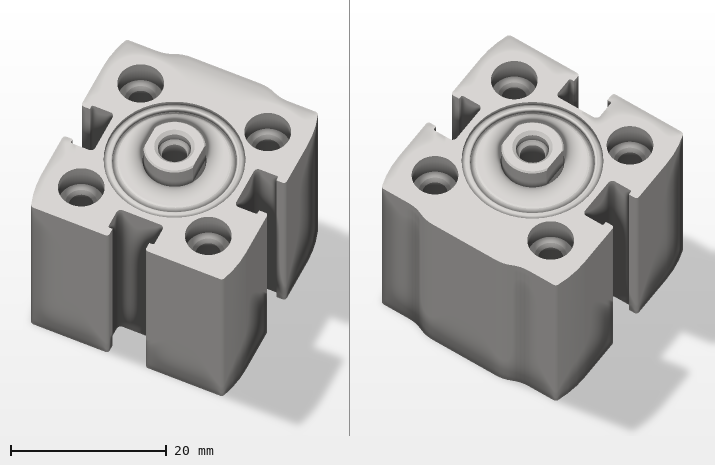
import cadquery as cq
import math

HALF_WIDTH = 14.5
RIDGE_Y = 15.5
HOUSING_HEIGHT = 26.0
RIDGE_TOP_HALF = 4.9
RIDGE_FOOT_HALF = 9.3
SIDE_FLAT_HALF = 9.3
SIDE_ARC_RADIUS = 15.0
CORNER_FILLET = 0.5

SLOT_MOUTH_WIDTH = 5.2
SLOT_WIDTH = 6.5
SLOT_FLOOR = 10.0
SLOT_LIP = 1.3
SLOT_FLOOR_FILLET = 0.6
SLOT_LIP_FILLET = 0.2
SLOT_MOUTH_FILLET = 0.4

HOLE_SPACING = 18.0
HOLE_DIAMETER = 3.24
HOLE_CHAMFER_DIAMETER = 4.13
COUNTERBORE_DIAMETER = 6.0
COUNTERBORE_DEPTH = 3.5

RECESS_RADIUS = 18.2 / 2
RING_OUTER_RADIUS = 8.3
RING_INNER_RADIUS = 16.0 / 2
RING_DEPTH = 0.15
RING_SLOPE = 30.0
RING_ROUND = 0.25
CAP_FOOT_RADIUS = 7.9
CAP_EDGE_RADIUS = 7.35
CAP_FACE_RADIUS = 7.1
CAP_DEPTH = 0.2
CAP_EDGE_DROP = 0.08
CAP_SLOPE = 40.0

ROD_DIAMETER = 8.0
ROD_CLEARANCE = 0.1
ROD_TOP = 29.0
ROD_BOTTOM = 6.0
ROD_CHAMFER = 0.2
FLAT_ACROSS = 7.0
FLAT_BOTTOM = 25.6
BORE_MOUTH_DIAMETER = 5.2
BORE_DIAMETER = 4.3
BORE_DEPTH = 1.5
THREAD_DIAMETER = 3.24
THREAD_CHAMFER_DIAMETER = 4.13
THREAD_DEPTH = 10.0
DRILL_POINT_ANGLE = 118.0


def housing_blank():
    """Extruded profile with bulged X sides and a ridge along the +Y side."""
    bend = HALF_WIDTH - SIDE_FLAT_HALF
    corner_x = HALF_WIDTH - SIDE_ARC_RADIUS + math.sqrt(SIDE_ARC_RADIUS**2 - bend**2)
    mid_x = HALF_WIDTH - SIDE_ARC_RADIUS + math.sqrt(SIDE_ARC_RADIUS**2 - (bend / 2) ** 2)
    mid_y = SIDE_FLAT_HALF + bend / 2
    ridge_mid = ((RIDGE_TOP_HALF + RIDGE_FOOT_HALF) / 2, (HALF_WIDTH + RIDGE_Y) / 2)
    blank = (
        cq.Workplane("XY")
        .moveTo(-corner_x, -HALF_WIDTH)
        .lineTo(corner_x, -HALF_WIDTH)
        .threePointArc((mid_x, -mid_y), (HALF_WIDTH, -SIDE_FLAT_HALF))
        .lineTo(HALF_WIDTH, SIDE_FLAT_HALF)
        .threePointArc((mid_x, mid_y), (corner_x, HALF_WIDTH))
        .lineTo(RIDGE_FOOT_HALF, HALF_WIDTH)
        .tangentArcPoint(ridge_mid, relative=False)
        .tangentArcPoint((RIDGE_TOP_HALF, RIDGE_Y), relative=False)
        .lineTo(-RIDGE_TOP_HALF, RIDGE_Y)
        .tangentArcPoint((-ridge_mid[0], ridge_mid[1]), relative=False)
        .tangentArcPoint((-RIDGE_FOOT_HALF, HALF_WIDTH), relative=False)
        .lineTo(-corner_x, HALF_WIDTH)
        .threePointArc((-mid_x, mid_y), (-HALF_WIDTH, SIDE_FLAT_HALF))
        .lineTo(-HALF_WIDTH, -SIDE_FLAT_HALF)
        .threePointArc((-mid_x, -mid_y), (-corner_x, -HALF_WIDTH))
        .close()
        .extrude(HOUSING_HEIGHT)
    )
    size = CORNER_FILLET
    for x in (-corner_x, corner_x):
        for y in (-HALF_WIDTH, HALF_WIDTH):
            near_corner = cq.selectors.BoxSelector(
                (x - size, y - size, 0),
                (x + size, y + size, HOUSING_HEIGHT),
            )
            blank = blank.edges("|Z").edges(near_corner).fillet(size)
    return blank


def t_slot(turn):
    """T-slot cutter for the -Y side, turned about Z by the given angle."""
    mouth = SLOT_MOUTH_WIDTH / 2
    lip_y = -(HALF_WIDTH - SLOT_LIP)
    wide_length = -lip_y - SLOT_FLOOR
    head = (
        cq.Workplane("XY")
        .center(0, lip_y + wide_length / 2)
        .rect(SLOT_WIDTH, wide_length)
        .extrude(HOUSING_HEIGHT)
        .edges("|Z and >Y")
        .fillet(SLOT_FLOOR_FILLET)
        .edges("|Z and <Y")
        .fillet(SLOT_LIP_FILLET)
    )
    flare = mouth + SLOT_MOUTH_FILLET
    round_start = -HALF_WIDTH + SLOT_MOUTH_FILLET
    round_shift = SLOT_MOUTH_FILLET * (1 - math.sqrt(0.5))
    throat = (
        cq.Workplane("XY")
        .moveTo(-mouth, -SLOT_FLOOR - SLOT_FLOOR_FILLET)
        .lineTo(-mouth, round_start)
        .threePointArc((-mouth - round_shift, -HALF_WIDTH + round_shift), (-flare, -HALF_WIDTH))
        .lineTo(flare, -HALF_WIDTH)
        .threePointArc((mouth + round_shift, -HALF_WIDTH + round_shift), (mouth, round_start))
        .lineTo(mouth, -SLOT_FLOOR - SLOT_FLOOR_FILLET)
        .close()
        .extrude(HOUSING_HEIGHT)
    )
    return head.union(throat).rotate((0, 0, 0), (0, 0, 1), turn)


def mounting_hole():
    """Counterbored through hole with a chamfered edge on the counterbore floor, as a cutter."""
    floor = HOUSING_HEIGHT - COUNTERBORE_DEPTH
    chamfer = (HOLE_CHAMFER_DIAMETER - HOLE_DIAMETER) / 2
    return (
        cq.Workplane("XZ")
        .moveTo(0, 0)
        .lineTo(HOLE_DIAMETER / 2, 0)
        .lineTo(HOLE_DIAMETER / 2, floor - chamfer)
        .lineTo(HOLE_CHAMFER_DIAMETER / 2, floor)
        .lineTo(COUNTERBORE_DIAMETER / 2, floor)
        .lineTo(COUNTERBORE_DIAMETER / 2, HOUSING_HEIGHT)
        .lineTo(0, HOUSING_HEIGHT)
        .close()
        .revolve(360, (0, 0, 0), (0, 1, 0))
    )


def cap_recess():
    """Recess in the top face that leaves the sloped retaining ring and the raised bearing cap."""
    top = HOUSING_HEIGHT
    ring_top = top - RING_DEPTH
    ring_drop = (RECESS_RADIUS - RING_OUTER_RADIUS) * math.tan(math.radians(RING_SLOPE))
    round_shift = RING_ROUND * (1 - math.sqrt(0.5))
    cap_face = top - CAP_DEPTH
    cap_edge = cap_face - CAP_EDGE_DROP
    cap_foot = cap_edge - (CAP_FOOT_RADIUS - CAP_EDGE_RADIUS) * math.tan(math.radians(CAP_SLOPE))
    return (
        cq.Workplane("XZ")
        .moveTo(0, top)
        .lineTo(RECESS_RADIUS, top)
        .lineTo(RECESS_RADIUS, ring_top - ring_drop)
        .lineTo(RING_OUTER_RADIUS, ring_top)
        .lineTo(RING_INNER_RADIUS + RING_ROUND, ring_top)
        .threePointArc(
            (RING_INNER_RADIUS + round_shift, ring_top - round_shift),
            (RING_INNER_RADIUS, ring_top - RING_ROUND),
        )
        .lineTo(RING_INNER_RADIUS, cap_foot)
        .lineTo(CAP_FOOT_RADIUS, cap_foot)
        .lineTo(CAP_EDGE_RADIUS, cap_edge)
        .lineTo(CAP_FACE_RADIUS, cap_face)
        .lineTo(0, cap_face)
        .close()
        .revolve(360, (0, 0, 0), (0, 1, 0))
    )


def rod_hole():
    """Blind hole that guides the rod, with a small gap around it; the rod end rests on its floor."""
    return (
        cq.Workplane("XY")
        .workplane(offset=ROD_BOTTOM)
        .circle(ROD_DIAMETER / 2 + ROD_CLEARANCE)
        .extrude(HOUSING_HEIGHT - ROD_BOTTOM)
    )


def make_housing():
    housing = housing_blank()
    for turn in (-90, 0, 90):
        housing = housing.cut(t_slot(turn))
    hole = mounting_hole()
    for x in (-HOLE_SPACING / 2, HOLE_SPACING / 2):
        for y in (-HOLE_SPACING / 2, HOLE_SPACING / 2):
            housing = housing.cut(hole.translate((x, y, 0)))
    return housing.cut(cap_recess()).cut(rod_hole())


def rod_bore():
    """Threaded blind hole with a wider mouth and a conical end, as a cutter."""
    mouth_drop = (BORE_MOUTH_DIAMETER - BORE_DIAMETER) / 2
    thread_drop = (THREAD_CHAMFER_DIAMETER - THREAD_DIAMETER) / 2
    point_length = THREAD_DIAMETER / 2 / math.tan(math.radians(DRILL_POINT_ANGLE / 2))
    ledge = ROD_TOP - BORE_DEPTH
    thread_end = ROD_TOP - THREAD_DEPTH
    return (
        cq.Workplane("XZ")
        .moveTo(0, ROD_TOP)
        .lineTo(BORE_MOUTH_DIAMETER / 2, ROD_TOP)
        .lineTo(BORE_DIAMETER / 2, ROD_TOP - mouth_drop)
        .lineTo(BORE_DIAMETER / 2, ledge)
        .lineTo(THREAD_CHAMFER_DIAMETER / 2, ledge)
        .lineTo(THREAD_DIAMETER / 2, ledge - thread_drop)
        .lineTo(THREAD_DIAMETER / 2, thread_end)
        .lineTo(0, thread_end - point_length)
        .close()
        .revolve(360, (0, 0, 0), (0, 1, 0))
    )


def make_piston_rod():
    """Round rod with two wrench flats facing -X and +X that run out at 45 degrees."""
    rod = (
        cq.Workplane("XY")
        .workplane(offset=ROD_BOTTOM)
        .circle(ROD_DIAMETER / 2)
        .extrude(ROD_TOP - ROD_BOTTOM)
        .faces(">Z")
        .edges()
        .chamfer(ROD_CHAMFER)
    )
    flat_x = FLAT_ACROSS / 2
    for side in (-1, 1):
        flat = (
            cq.Workplane("XZ")
            .moveTo(side * flat_x, ROD_TOP)
            .lineTo(side * flat_x, FLAT_BOTTOM)
            .lineTo(side * ROD_DIAMETER, FLAT_BOTTOM - (ROD_DIAMETER - flat_x))
            .lineTo(side * ROD_DIAMETER, ROD_TOP)
            .close()
            .extrude(ROD_DIAMETER, both=True)
        )
        rod = rod.cut(flat)
    return rod.cut(rod_bore())


housing = make_housing()
piston_rod = make_piston_rod()

result = cq.Compound.makeCompound([housing.val(), piston_rod.val()])